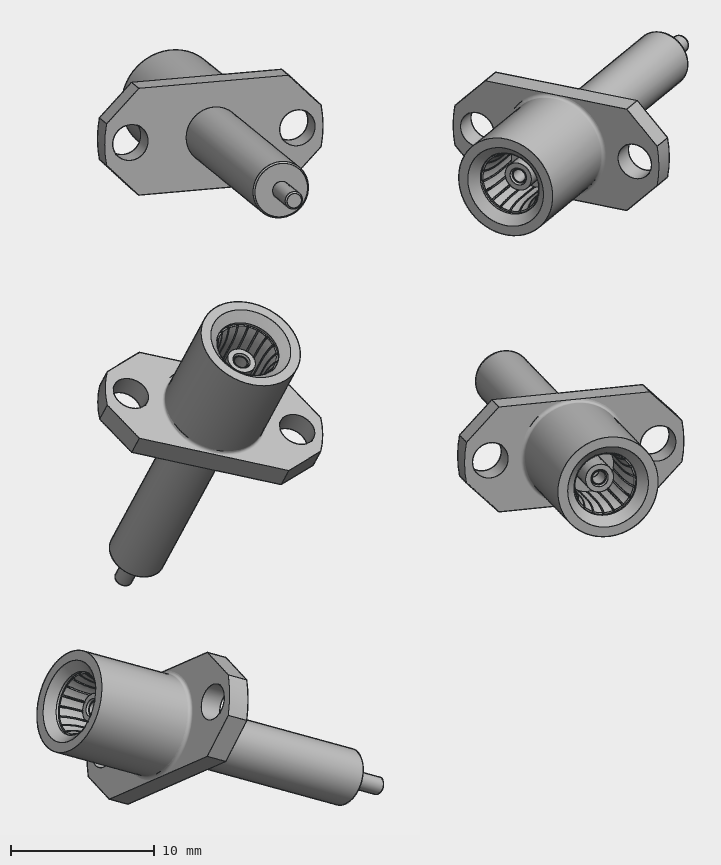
import cadquery as cq
import math

flange_front = 7.87
flange_back = 9.52
sleeve_end = 24.52
pin_end = 27.43

flange_length = 15.96
flange_height = 7.7
corner_cut = 2.5
mount_hole_diameter = 2.58
mount_hole_spacing = 12.2

body_diameter = 7.3
sleeve_diameter = 4.05
pin_diameter = 1.25
root_fillet = 0.25
sleeve_chamfer = 0.1
pin_chamfer = 0.1

mouth_diameter = 5.87
throat_diameter = 4.55
mouth_depth = 0.63
finger_front = 0.82
finger_entry_diameter = 4.3
finger_grip_diameter = 3.7
finger_bow_length = 1.65
socket_depth = 4.65

slot_count = 18
slot_width = 0.1
slot_phase = 88.0

contact_front = 1.97
contact_diameter = 2.03
contact_hole_diameter = 0.93
contact_mouth_diameter = 1.25
contact_mouth_depth = 0.16
contact_step_diameter = 1.1
contact_hole_depth = 1.65


def cylinder(x_start, x_end, diameter):
    length = x_end - x_start
    return cq.Workplane("YZ", origin=(x_start, 0, 0)).circle(diameter / 2).extrude(length)


def revolve_about_x(profile):
    return profile.close().revolve(360, (0, 0, 0), (1, 0, 0))


def make_flange():
    thickness = flange_back - flange_front
    plate = (
        cq.Workplane("YZ", origin=(flange_front, 0, 0))
        .rect(flange_length, flange_height)
        .extrude(thickness)
        .edges("|X")
        .chamfer(corner_cut)
    )
    plate = plate.intersect(cylinder(flange_front, flange_back, flange_length))
    return (
        plate.faces("<X")
        .workplane(origin=(flange_front, 0, 0))
        .pushPoints([(-mount_hole_spacing / 2, 0), (mount_hole_spacing / 2, 0)])
        .hole(mount_hole_diameter)
    )


def make_body():
    """Socket barrel, flared by a fillet where it meets the flange and trimmed to the flange height."""
    radius = body_diameter / 2
    mid_offset = root_fillet * (1 - math.sqrt(0.5))
    profile = (
        cq.Workplane("XY")
        .lineTo(0, radius)
        .lineTo(flange_front - root_fillet, radius)
        .threePointArc(
            (flange_front - mid_offset, radius + mid_offset),
            (flange_front, radius + root_fillet),
        )
        .lineTo(flange_front, 0)
    )
    trim = cq.Workplane("XY").box(2 * flange_back, flange_length, flange_height)
    return revolve_about_x(profile).intersect(trim)


def make_sleeve_and_pin():
    sleeve = cylinder(flange_back, sleeve_end, sleeve_diameter).faces(">X").chamfer(sleeve_chamfer)
    pin = cylinder(sleeve_end, pin_end, pin_diameter).faces(">X").chamfer(pin_chamfer)
    return sleeve.union(pin)


def make_bore():
    """Conical mouth, short throat and bowed finger wall down to the socket floor."""
    entry_radius = finger_entry_diameter / 2
    grip_radius = finger_grip_diameter / 2
    bow_drop = entry_radius - grip_radius
    bow_radius = (finger_bow_length ** 2 + bow_drop ** 2) / (2 * bow_drop)
    bow_end = finger_front + finger_bow_length
    half_length = finger_bow_length / 2
    bow_mid_radius = grip_radius + bow_radius - math.sqrt(bow_radius ** 2 - half_length ** 2)
    profile = (
        cq.Workplane("XY")
        .lineTo(0, mouth_diameter / 2)
        .lineTo(mouth_depth, throat_diameter / 2)
        .lineTo(finger_front, throat_diameter / 2)
        .lineTo(finger_front, entry_radius)
        .threePointArc((bow_end - half_length, bow_mid_radius), (bow_end, grip_radius))
        .lineTo(socket_depth, grip_radius)
        .lineTo(socket_depth, 0)
    )
    return revolve_about_x(profile)


def make_finger_slots():
    outer_radius = throat_diameter / 2
    length = socket_depth - finger_front
    blade = cq.Workplane("XY").box(length, outer_radius, slot_width, centered=(False, False, True))
    blade = blade.translate((finger_front, 0, 0))
    slots = cq.Workplane("XY")
    for index in range(slot_count):
        angle = 180 - slot_phase + index * 360 / slot_count
        slots = slots.add(blade.rotate((0, 0, 0), (1, 0, 0), angle))
    return slots.combine()


def make_contact():
    """Centre contact with a blind hole that opens through a small step and a conical mouth."""
    profile = (
        cq.Workplane("XY", origin=(contact_front, 0, 0))
        .moveTo(0, contact_diameter / 2)
        .lineTo(0, contact_mouth_diameter / 2)
        .lineTo(contact_mouth_depth, contact_step_diameter / 2)
        .lineTo(contact_mouth_depth, contact_hole_diameter / 2)
        .lineTo(contact_hole_depth, contact_hole_diameter / 2)
        .lineTo(contact_hole_depth, 0)
        .lineTo(socket_depth - contact_front, 0)
        .lineTo(socket_depth - contact_front, contact_diameter / 2)
    )
    return revolve_about_x(profile)


shell = make_flange().union(make_body()).union(make_sleeve_and_pin())
socket = shell.cut(make_bore()).cut(make_finger_slots())
result = socket.union(make_contact())